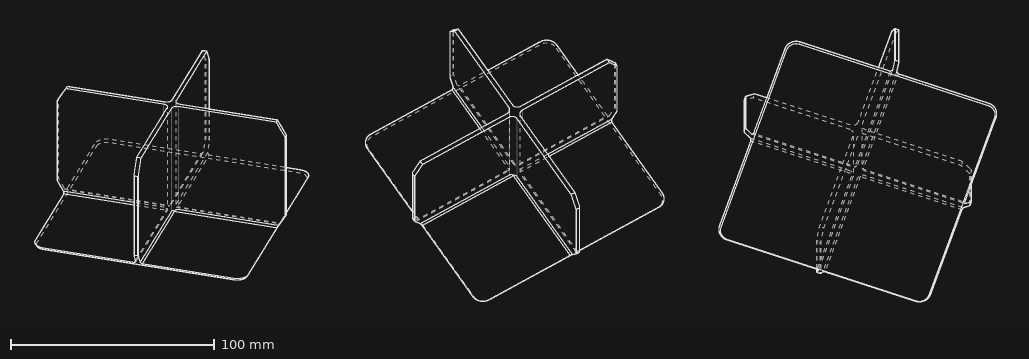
import cadquery as cq
import math

span = 117.7
height = 61.2

plate_thickness = 1.4
plate_corner_radius = 5.1

wall_thickness = 2.2
end_cut_length = 4.7
end_cut_height = 8.0
base_bevel = 1.0
cross_fillet = 2.7
tip_chamfer = 0.2
selection_margin = 0.1

plate_bottom_size = span - 2 * end_cut_length
edge_slope_angle = math.degrees(math.atan(end_cut_length / end_cut_height))


def make_flared_block(block_height):
    """Square block with rounded corners whose sides flare outward from Z = 0."""
    outline = (
        cq.Sketch()
        .rect(plate_bottom_size, plate_bottom_size)
        .vertices()
        .fillet(plate_corner_radius)
    )
    return cq.Workplane("XY").placeSketch(outline).extrude(block_height, taper=-edge_slope_angle)


def make_wall():
    """Upright wall along X with all four end corners cut off."""
    end = span / 2
    cut_end = end - end_cut_length
    upper_cut = height - end_cut_height
    outline = [
        (-cut_end, 0),
        (cut_end, 0),
        (end, end_cut_height),
        (end, upper_cut),
        (cut_end, height),
        (-cut_end, height),
        (-end, upper_cut),
        (-end, end_cut_height),
    ]
    wall = cq.Workplane("XZ").polyline(outline).close().extrude(wall_thickness / 2, both=True)
    return wall.faces("<X or >X").edges("|Z").chamfer(tip_chamfer)


def make_bevel_strip():
    """Sloping strip along X that widens the foot of a wall on both sides."""
    top_half = wall_thickness / 2
    foot_half = top_half + base_bevel
    bevel_top = plate_thickness + base_bevel
    profile = [
        (-foot_half, plate_thickness),
        (foot_half, plate_thickness),
        (top_half, bevel_top),
        (-top_half, bevel_top),
    ]
    return cq.Workplane("YZ").polyline(profile).close().extrude(span / 2, both=True)


def turned(body):
    """Copy of a body turned from the X direction to the Y direction."""
    return body.rotate((0, 0, 0), (0, 0, 1), 90)


wall = make_wall()
inner_corner = wall_thickness / 2 + selection_margin
corner_zone = cq.selectors.BoxSelector(
    (-inner_corner, -inner_corner, 0), (inner_corner, inner_corner, height)
)
cross = wall.union(turned(wall))
cross = cross.edges("|Z").edges(corner_zone).fillet(cross_fillet)

bevel_strip = make_bevel_strip()
bevels = bevel_strip.union(turned(bevel_strip))
bevels = bevels.intersect(make_flared_block(plate_thickness + base_bevel))

plate = make_flared_block(plate_thickness)
result = plate.union(cross).union(bevels)